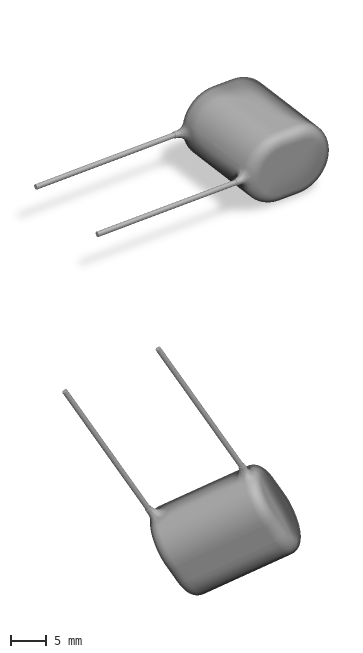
import cadquery as cq

total_length = 39.3
body_width = 17.5
body_thickness = 11.1
body_depth = 14.25

body_edge_radius = 1.7
body_front_y = -body_depth / 2

collar_diameter = 1.0
collar_length = 1.55
collar_root_radius = 1.75
collar_end_y = body_front_y - collar_length

lead_diameter = 0.8
lead_spacing = 14.97
lead_length = total_length - body_depth - collar_length
lead_positions = [-lead_spacing / 2, lead_spacing / 2]


def make_rod(x, start_y, length, diameter):
    """Round rod at height zero, running from start_y towards -Y."""
    return (
        cq.Workplane("XZ", origin=(x, start_y, 0))
        .circle(diameter / 2)
        .extrude(length)
    )


def make_body():
    """Capsule-section block along X with rounded end edges."""
    return (
        cq.Workplane("YZ")
        .slot2D(body_depth, body_thickness)
        .extrude(body_width / 2, both=True)
        .faces("<X or >X")
        .edges()
        .fillet(body_edge_radius)
    )


def add_collar(body, x):
    """Join a collar to the body and blend its root into the body surface."""
    collar = make_rod(x, 0, -collar_end_y, collar_diameter)
    joined = body.union(collar)
    root_box = cq.selectors.BoxSelector(
        (x - collar_diameter, body_front_y + collar_diameter, -collar_diameter),
        (x + collar_diameter, collar_end_y + collar_length / 2, collar_diameter),
        boundingbox=True,
    )
    return joined.edges(root_box).fillet(collar_root_radius)


def make_lead(x):
    """Straight wire starting at the end face of its collar."""
    return make_rod(x, collar_end_y, lead_length, lead_diameter)


housing = make_body()
for lead_x in lead_positions:
    housing = add_collar(housing, lead_x)

leads = [make_lead(lead_x) for lead_x in lead_positions]

result = cq.Compound.makeCompound([housing.val(), *[lead.val() for lead in leads]])